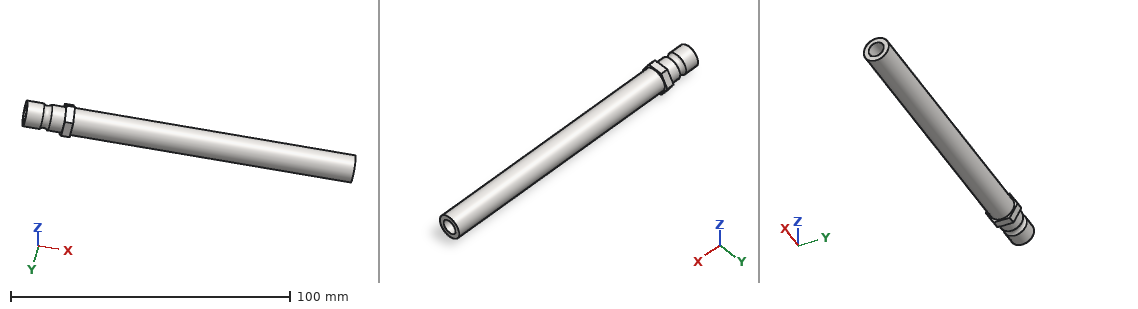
import cadquery as cq
import math

length = 120.0
bore_diameter = 6.0
tube_diameter = 10.0
nipple_step = 0.26
nipple_diameter = tube_diameter - 2 * nipple_step

hex_across_flats = 11.0
hex_start = 13.9
hex_end = 17.0

groove_start = 6.0
groove_end = 9.0
groove_depth = 0.66


def cylinder(diameter, start, end):
    """Solid round bar along X between two stations."""
    return cq.Workplane("YZ", origin=(start, 0, 0)).circle(diameter / 2).extrude(end - start)


def hex_collar():
    """Hexagonal prism with its corners pointing along +Y and -Y."""
    across_corners = hex_across_flats / math.cos(math.radians(30))
    sketch = cq.Workplane("YZ", origin=(hex_start, 0, 0)).polygon(6, across_corners)
    return sketch.extrude(hex_end - hex_start)


def groove_ring():
    """Ring of circular-segment section that cuts the groove."""
    rim = nipple_diameter / 2
    middle = (groove_start + groove_end) / 2
    section = (
        cq.Workplane("XY")
        .moveTo(groove_start, rim)
        .threePointArc((middle, rim - groove_depth), (groove_end, rim))
        .close()
    )
    return section.revolve(360, (0, 0, 0), (1, 0, 0))


nipple = cylinder(nipple_diameter, 0, hex_start).cut(groove_ring())
tube = cylinder(tube_diameter, hex_end, length)
bore = cylinder(bore_diameter, 0, length)

result = nipple.union(hex_collar()).union(tube).cut(bore)